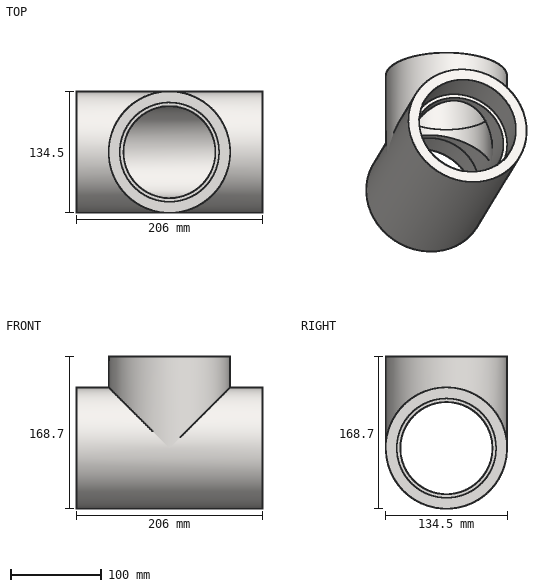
import cadquery as cq

run_length = 206.0
total_height = 168.7
outer_diameter = 134.5
bore_diameter = 101.8
socket_diameter = 110.0
socket_depth = 43.3

half_run = run_length / 2
branch_height = total_height - outer_diameter / 2


def arm(direction, diameter, start, end):
    """Cylinder along a direction from the origin, between two distances."""
    axis = cq.Vector(*direction)
    solid = cq.Solid.makeCylinder(diameter / 2, end - start, axis * start, axis)
    return cq.Workplane(obj=solid)


left_end = ((-1, 0, 0), half_run)
right_end = ((1, 0, 0), half_run)
branch_end = ((0, 0, 1), branch_height)

run_direction = right_end[0]
branch_direction = branch_end[0]
body = arm(run_direction, outer_diameter, -half_run, half_run)
body = body.union(arm(branch_direction, outer_diameter, 0, branch_height))

body = body.cut(arm(run_direction, bore_diameter, -half_run, half_run))
body = body.cut(arm(branch_direction, bore_diameter, 0, branch_height))

for direction, reach in (left_end, right_end, branch_end):
    body = body.cut(arm(direction, socket_diameter, reach - socket_depth, reach))

result = body